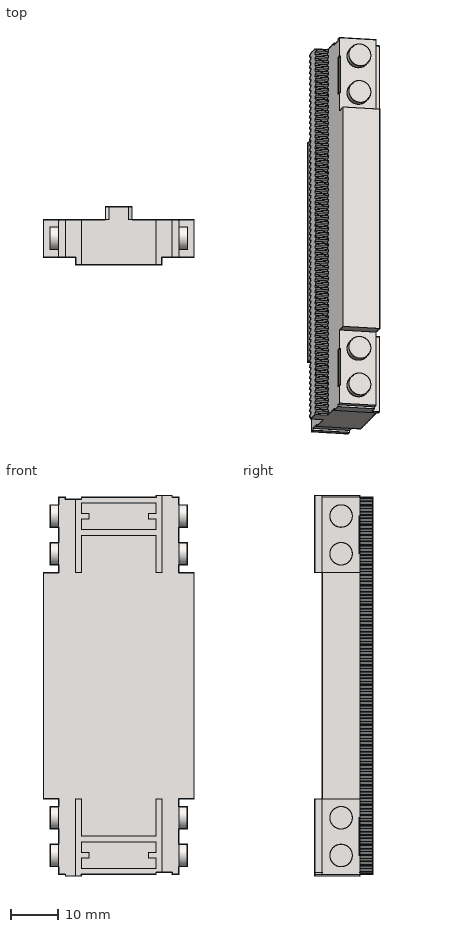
import cadquery as cq

body_length = 80.0
body_width = 32.0
body_thickness = 8.0
waist_width = 25.5
centre_length = 48.0

frame_height = 1.6
wall = 1.2
window_width = 15.8
window_length = 5.65
tab_length = 1.6

overall_length = 80.8
strip_outer_x = 11.3

pin_diameter = 4.8
pin_length = 1.8
pin_spacing = 8.0

relief_depth = 0.25

rack_height = 2.75
tooth_count = 66
rack_root_width = 4.0
rack_crest_width = 5.65

half_length = body_length / 2
half_centre = centre_length / 2
waist_x = waist_width / 2
window_x = window_width / 2
rail_x = window_x + wall
strip_shift = (overall_length - body_length) / 2
window_top = half_length - wall
window_bottom = window_top - window_length
window_middle = (window_top + window_bottom) / 2
pocket_floor_y = body_thickness / 2
outer_pin_z = half_length - pin_spacing / 2
inner_pin_z = outer_pin_z - pin_spacing


def block(x_range, y_range, z_range):
    """Box spanning the given ranges, each given in either order."""
    spans = [sorted(pair) for pair in (x_range, y_range, z_range)]
    sizes = [high - low for low, high in spans]
    corner = tuple(low for low, high in spans)
    return cq.Workplane("XY").box(*sizes, centered=False).translate(corner)


def make_body():
    depth = (0, body_thickness)
    centre = block((-body_width / 2, body_width / 2), depth, (-half_centre, half_centre))
    waist = block((-waist_x, waist_x), depth, (-half_length, half_length))
    return centre.union(waist)


def stagger_strip(body, side):
    """Shift the strip on one side (-1 or 1) along Z: down on the left, up on the right."""
    shift = side * strip_shift
    strip_x = (side * window_x, side * strip_outer_x)
    depth = (0, body_thickness)
    extended_end = side * half_length
    shortened_end = -extended_end
    body = body.union(block(strip_x, depth, (0, extended_end + shift)))
    return body.cut(block(strip_x, depth, (shortened_end, shortened_end + shift)))


def add_frame(body, end):
    """Add rails, crossbars, pocket and tabs at one end (-1 bottom, 1 top)."""
    height = (-frame_height, 0)
    across = (-window_x, window_x)
    for side in (-1, 1):
        rail_end = end * half_length + side * strip_shift
        rail = block((side * window_x, side * rail_x), height, (end * half_centre, rail_end))
        body = body.union(rail)
    for bar_z in (window_top, window_bottom - wall):
        body = body.union(block(across, height, (end * bar_z, end * (bar_z + wall))))
    pocket_y = (-frame_height, pocket_floor_y)
    body = body.cut(block(across, pocket_y, (end * window_bottom, end * window_top)))
    tab_z = (end * window_middle - wall / 2, end * window_middle + wall / 2)
    for side in (-1, 1):
        tab_x = (side * (window_x - tab_length), side * window_x)
        body = body.union(block(tab_x, pocket_y, tab_z))
    return body


def add_pins(body, side, end):
    """Add two pins and the relief between them on one side of one end."""
    for pin_z in (outer_pin_z, inner_pin_z):
        pin = (
            cq.Workplane("YZ", origin=(side * waist_x, body_thickness / 2, end * pin_z))
            .circle(pin_diameter / 2)
            .extrude(side * pin_length)
        )
        body = body.union(pin)
    relief = block(
        (side * strip_outer_x, side * waist_x),
        (body_thickness - relief_depth, body_thickness),
        (end * inner_pin_z, end * outer_pin_z),
    )
    return body.cut(relief)


def make_rack():
    """Rack with trapezoid teeth on both sides; flanks, crests and roots share the pitch equally."""
    pitch = body_length / tooth_count
    step = pitch / 4
    root_x = rack_root_width / 2
    crest_x = rack_crest_width / 2
    edge = [(root_x, half_length)]
    for tooth in range(tooth_count):
        start = half_length - tooth * pitch
        edge.append((crest_x, start - step))
        edge.append((crest_x, start - 2 * step))
        edge.append((root_x, start - 3 * step))
        edge.append((root_x, start - pitch))
    mirrored_edge = [(-x, z) for x, z in reversed(edge)]
    return (
        cq.Workplane("XZ", origin=(0, body_thickness, 0))
        .polyline(edge + mirrored_edge)
        .close()
        .extrude(-rack_height)
    )


result = make_body()
for side in (-1, 1):
    result = stagger_strip(result, side)
for end in (-1, 1):
    result = add_frame(result, end)
    for side in (-1, 1):
        result = add_pins(result, side, end)
result = result.union(make_rack())